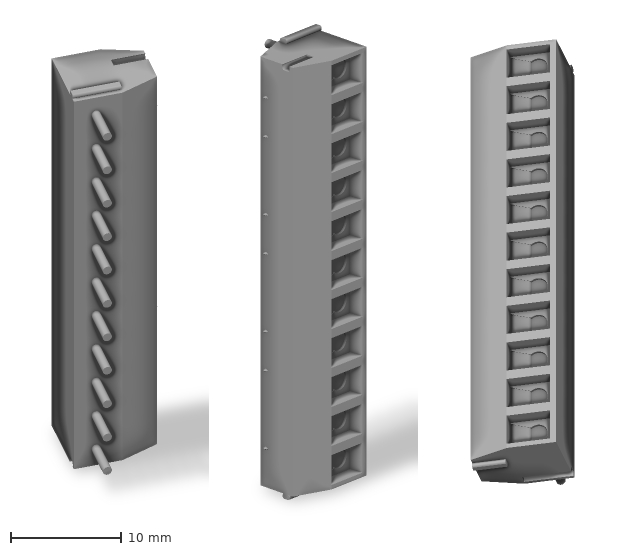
import cadquery as cq
import math


pole_count = 11
body_length = 41.92
overall_length = 42.9
body_width = 6.8
body_depth = 8.32
shoulder_y = 4.65
bevel_width = 1.37
pole_pitch = body_length / pole_count

overall_width = 10.3
pin_radius = 0.45
pin_y = 2.1

pocket_height = 2.9
pocket_depth = 1.4
pocket_floor_y = 0.55
pocket_draft = 0.15

guide_depth = 0.05
guide_roll_y = 4.08
guide_roll_radius = shoulder_y - guide_roll_y
guide_lip_y = 3.0
guide_tip_y = 2.7
guide_lip_drop = 0.2
guide_lip_width = guide_lip_y - guide_tip_y
guide_lip_radius = (guide_lip_width**2 + guide_lip_drop**2) / (2 * guide_lip_drop)
guide_mouth_half = 1.4
guide_wide_half = 1.15
guide_narrow_half = 0.75
wire_hole_radius = 0.95
wire_hole_depth = guide_depth + guide_lip_drop

rear_key_x = 6.0
front_key_x = 2.25
front_key_start_y = 5.2
key_flat_half = 0.28
key_belly_half = 0.45
key_height = (overall_length - body_length) / 2
groove_clearance = 0.05
groove_mouth_half = 0.45
groove_end_gap = 0.15

nub_x = 4.7
nub_height = 0.2
nub_radius = 0.3
nub_half_thickness = 0.2


def pole_z(index):
    """Z of a pole, counted from the -Z end; half indices lie between poles."""
    return (index - (pole_count - 1) / 2) * pole_pitch


def make_body():
    outline = [
        (0, 0),
        (body_width, 0),
        (body_width, shoulder_y),
        (body_width - bevel_width, body_depth),
        (bevel_width, body_depth),
        (0, shoulder_y),
    ]
    return cq.Workplane("XY").polyline(outline).close().extrude(body_length / 2, both=True)


def make_pins():
    """Round pins, rooted in the body behind the pockets."""
    centers = [(pin_y, pole_z(i)) for i in range(pole_count)]
    root_x = body_width / 2
    return (
        cq.Workplane("YZ", origin=(root_x, 0, 0))
        .pushPoints(centers)
        .circle(pin_radius)
        .extrude(overall_width - root_x)
    )


def make_pocket():
    """One pocket, with its drafted lower wall and wire guide, at Z = 0."""
    side = [
        (0, pocket_floor_y),
        (0, shoulder_y),
        (pocket_depth, shoulder_y),
        (pocket_depth, pocket_floor_y + pocket_draft),
    ]
    recess = cq.Workplane("XY").polyline(side).close().extrude(pocket_height / 2, both=True)

    guide_x = pocket_depth + guide_depth
    guide_side = (
        cq.Workplane("XY")
        .moveTo(0, guide_tip_y)
        .lineTo(guide_x + guide_lip_drop, guide_tip_y)
        .radiusArc((guide_x, guide_lip_y), guide_lip_radius)
        .lineTo(guide_x, guide_roll_y)
        .radiusArc((guide_x + guide_roll_radius, shoulder_y), guide_roll_radius)
        .lineTo(0, shoulder_y)
        .close()
        .extrude(pocket_height / 2, both=True)
    )

    guide_edge = [
        (guide_tip_y, guide_narrow_half),
        (guide_roll_y, guide_wide_half),
        (shoulder_y, guide_mouth_half),
    ]
    guide_face = guide_edge + [(y, -half) for y, half in reversed(guide_edge)]
    guide = cq.Workplane("YZ").polyline(guide_face).close().extrude(body_width / 2)

    hole_tip_half = math.sqrt(wire_hole_radius**2 - (guide_tip_y - pin_y) ** 2)
    wire_hole = (
        cq.Workplane("YZ")
        .moveTo(guide_tip_y, -hole_tip_half)
        .threePointArc((pin_y - wire_hole_radius, 0), (guide_tip_y, hole_tip_half))
        .close()
        .extrude(pocket_depth + wire_hole_depth)
    )
    return recess.union(guide.intersect(guide_side)).union(wire_hole)


def make_rail(center_x, start_y, end_y, foot_half, belly_half, tip_half, height):
    """Bar along Y standing on Z = 0, with bulging flanks and a flat top."""
    return (
        cq.Workplane("XZ", origin=(center_x, start_y, 0))
        .moveTo(-foot_half, 0)
        .threePointArc((-belly_half, height / 2), (-tip_half, height))
        .lineTo(tip_half, height)
        .threePointArc((belly_half, height / 2), (foot_half, 0))
        .close()
        .extrude(start_y - end_y)
    )


def make_key(center_x, start_y, end_y):
    return make_rail(
        center_x, start_y, end_y, key_flat_half, key_belly_half, key_flat_half, key_height
    )


def make_groove(center_x, start_y, end_y):
    """Cutter that clears a key, with a slightly wider mouth."""
    return make_rail(
        center_x,
        start_y,
        end_y,
        groove_mouth_half,
        key_belly_half + groove_clearance,
        key_flat_half + groove_clearance,
        key_height + groove_clearance,
    )


def make_nub():
    """Marker nub: two flat cones base to base, partly sunk in the +Y face, at Z = 0."""
    profile = [(0, -nub_half_thickness), (nub_radius, 0), (0, nub_half_thickness)]
    return (
        cq.Workplane("XZ")
        .polyline(profile)
        .close()
        .revolve(360, (0, 0), (0, 1))
        .translate((nub_x, body_depth + nub_height - nub_radius, 0))
    )


result = make_body().union(make_pins())

pocket = make_pocket()
for i in range(pole_count):
    result = result.cut(pocket.translate((0, 0, pole_z(i))))

top_z = body_length / 2
front_groove_start_y = front_key_start_y - groove_end_gap
top_groove = make_groove(front_key_x, front_groove_start_y, body_depth).mirror("XY")
bottom_groove = make_groove(rear_key_x, 0, shoulder_y)
result = result.cut(top_groove.translate((0, 0, top_z)))
result = result.cut(bottom_groove.translate((0, 0, -top_z)))

top_key = make_key(rear_key_x, 0, shoulder_y)
bottom_key = make_key(front_key_x, front_key_start_y, body_depth).mirror("XY")
result = result.union(top_key.translate((0, 0, top_z)))
result = result.union(bottom_key.translate((0, 0, -top_z)))

nub = make_nub()
for gap in range(pole_count - 1):
    if gap % 3 != 1:
        result = result.union(nub.translate((0, 0, pole_z(gap + 0.5))))